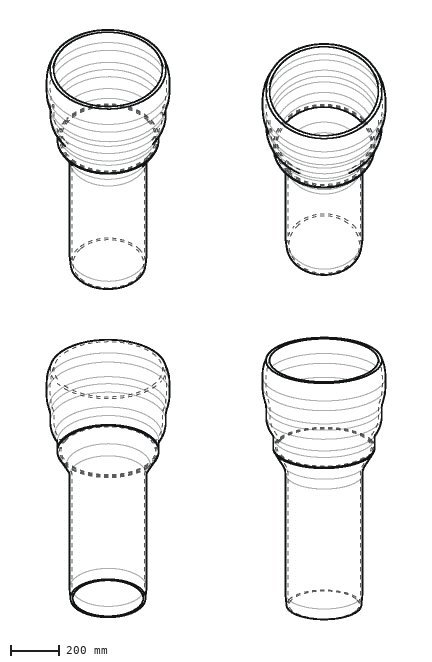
import cadquery as cq
import math

total_height = 1100.0

barrel_outer_radius = 320.0 / 2
barrel_bore_radius = 300.0 / 2
spigot_wall = barrel_outer_radius - barrel_bore_radius
tip_height = 51.0
tip_inset = 4.0
barrel_top_z = 591.0
flare_bend_radius = 100.0
flare_tilt = math.radians(30)

collar_outer_radius = 420.0 / 2
collar_bore_radius = 390.0 / 2
socket_wall = collar_outer_radius - collar_bore_radius
sleeve_outer_radius = 480.0 / 2
bead_outer_radius = 510.0 / 2
mouth_outer_radius = sleeve_outer_radius
collar_top_z = 755.0
sleeve_bottom_z = 849.0
lower_shoulder_split_z = 789.0
sleeve_top_z = 890.0
bead_bottom_z = 985.0
upper_shoulder_split_z = 921.0
bead_top_z = 1028.0


def straight(length):
    """Wall step that carries on in its present direction."""
    return ("straight", length, 0)


def bend(radius, angle):
    """Wall step that turns outward (positive angle) or inward (negative)."""
    return ("bend", math.copysign(radius, angle), angle)


def advance(point, tilt, step, fraction):
    """Outer-face point and tilt from vertical after a fraction of a step."""
    kind, size, angle = step
    r, z = point
    if kind == "straight":
        length = size * fraction
        return (r + length * math.sin(tilt), z + length * math.cos(tilt)), tilt
    new_tilt = tilt + angle * fraction
    new_r = r + size * (math.cos(tilt) - math.cos(new_tilt))
    new_z = z + size * (math.sin(new_tilt) - math.sin(tilt))
    return (new_r, new_z), new_tilt


def inner_point(point, tilt, wall):
    """Point on the inner face, square across the wall from an outer point."""
    return (point[0] - wall * math.cos(tilt), point[1] + wall * math.sin(tilt))


def revolve_profile(profile):
    """Full turn of a closed radius-height profile about the Z axis."""
    return profile.revolve(360, (0, 0, 0), (0, 1, 0))


def pipe_wall(outer_radius, bottom_z, wall, steps):
    """Revolved wall of even thickness, starting vertical and following steps."""
    stations = [((outer_radius, bottom_z), 0.0)]
    middles = []
    for step in steps:
        point, tilt = stations[-1]
        middles.append(advance(point, tilt, step, 0.5))
        stations.append(advance(point, tilt, step, 1))

    profile = cq.Workplane("XZ").moveTo(outer_radius, bottom_z)
    for step, middle, end in zip(steps, middles, stations[1:]):
        if step[0] == "bend":
            profile = profile.threePointArc(middle[0], end[0])
        else:
            profile = profile.lineTo(*end[0])

    profile = profile.lineTo(*inner_point(*stations[-1], wall))
    for step, middle, start in zip(steps[::-1], middles[::-1], stations[-2::-1]):
        if step[0] == "bend":
            profile = profile.threePointArc(inner_point(*middle, wall), inner_point(*start, wall))
        else:
            profile = profile.lineTo(*inner_point(*start, wall))
    return revolve_profile(profile.close())


bend_widening = flare_bend_radius * (1 - math.cos(flare_tilt))
flare_length = (collar_outer_radius - barrel_outer_radius - bend_widening) / math.sin(flare_tilt)
flare_top_z = (
    barrel_top_z + flare_bend_radius * math.sin(flare_tilt) + flare_length * math.cos(flare_tilt)
)
socket_bottom_z = flare_top_z + spigot_wall * math.sin(flare_tilt)


def make_spigot():
    pipe = pipe_wall(
        barrel_outer_radius,
        tip_height,
        spigot_wall,
        [
            straight(barrel_top_z - tip_height),
            bend(flare_bend_radius, flare_tilt),
            straight(flare_length),
        ],
    )
    tip = revolve_profile(
        cq.Workplane("XZ")
        .moveTo(barrel_bore_radius - tip_inset, 0)
        .lineTo(barrel_outer_radius - tip_inset, 0)
        .lineTo(barrel_outer_radius, tip_height)
        .lineTo(barrel_bore_radius, tip_height)
        .close()
    )
    return pipe.union(tip)


def bend_angle(radial_change, height):
    """Turn of tangent bends starting vertical that cover this rise and widening."""
    return 2 * math.atan(radial_change / height)


def shoulder(radial_change, bottom_z, split_z, top_z):
    """Outward then inward bend, joining two vertical walls smoothly."""
    angle = bend_angle(radial_change, top_z - bottom_z)
    return [
        bend((split_z - bottom_z) / math.sin(angle), angle),
        bend((top_z - split_z) / math.sin(angle), -angle),
    ]


def make_mouth():
    """Inward-curving ring with a flat rim, smooth with the bead below it."""
    mouth_height = total_height - bead_top_z
    mouth_angle = bend_angle(bead_outer_radius - mouth_outer_radius, mouth_height)
    mouth_bend = bend(mouth_height / math.sin(mouth_angle), -mouth_angle)
    bead_top = (bead_outer_radius, bead_top_z)
    outer_middle, _ = advance(bead_top, 0, mouth_bend, 0.5)
    return revolve_profile(
        cq.Workplane("XZ")
        .moveTo(*bead_top)
        .threePointArc(outer_middle, (mouth_outer_radius, total_height))
        .lineTo(mouth_outer_radius - socket_wall, total_height)
        .threePointArc(
            (outer_middle[0] - socket_wall, outer_middle[1]),
            (bead_outer_radius - socket_wall, bead_top_z),
        )
        .close()
    )


def make_socket():
    steps = [
        straight(collar_top_z - socket_bottom_z),
        *shoulder(
            sleeve_outer_radius - collar_outer_radius,
            collar_top_z,
            lower_shoulder_split_z,
            sleeve_bottom_z,
        ),
        straight(sleeve_top_z - sleeve_bottom_z),
        *shoulder(
            bead_outer_radius - sleeve_outer_radius,
            sleeve_top_z,
            upper_shoulder_split_z,
            bead_bottom_z,
        ),
        straight(bead_top_z - bead_bottom_z),
    ]
    wall = pipe_wall(collar_outer_radius, socket_bottom_z, socket_wall, steps)
    return wall.union(make_mouth())


spigot = make_spigot().solids()
socket = make_socket().solids()

result = cq.Compound.makeCompound([spigot.val(), socket.val()])